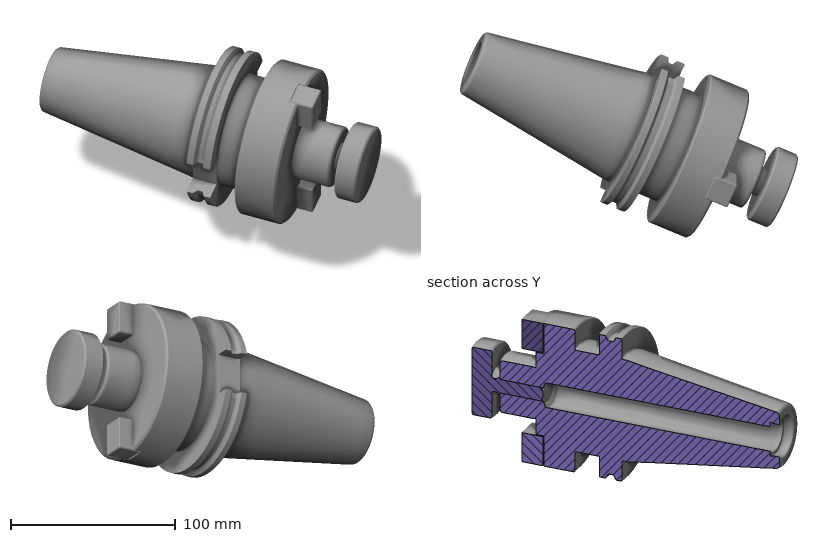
import cadquery as cq
import math


taper_large_diameter = 70.0
taper_length = 101.8
taper_ratio = 7 / 24
taper_small_diameter = taper_large_diameter - taper_length * taper_ratio
taper_end_fillet = 2.5

flange_diameter = 97.0
flange_start = 105.0
flange_end = 120.3
flange_chamfer = 0.5
groove_start = 109.2
groove_end = 116.2
groove_depth = 3.0
groove_slope = math.tan(math.radians(30))
groove_run = groove_depth * groove_slope
drive_slot_width = 25.7
front_slot_floor = 35.4
back_slot_floor = 37.6

neck_fillet = 0.6
disc_diameter = 97.0
disc_start = 136.5
disc_end = 162.6
disc_back_chamfer = 0.8
disc_front_chamfer = 1.2
spigot_diameter = 38.0
spigot_end = 186.7
spigot_fillet = 1.9
undercut_diameter = 37.6
undercut_width = 1.6

mouth_diameter = 28.0
counterbore_diameter = 26.1
relief_diameter = 26.7
bore_diameter = 22.0
mouth_fillet = (mouth_diameter - counterbore_diameter) / 2
counterbore_depth = 6.4
relief_width = 1.6
bore_depth = 156.3
bore_cone_half_angle = 59.0

shank_diameter = 17.3
shank_chamfer = 1.2
collar_diameter = 19.1
collar_length = 0.8
collar_cone_length = 1.2
exposed_shank_diameter = 17.7
shank_groove_diameter = 17.5
shank_groove_start = 189.4
shank_groove_end = 190.6
head_diameter = 48.0
head_start = 191.8
head_end = 205.6
head_chamfer = 1.0
bore_cone_length = (bore_diameter - shank_diameter) / 2 / math.tan(math.radians(bore_cone_half_angle))
shank_start = bore_depth + bore_cone_length

key_count = 2
key_start = 157.5
key_end = 172.3
key_width = 15.6
key_inner = 27.8
key_outer = 48.1
key_chamfer = 0.6


def cylinder(diameter, start, end):
    return cq.Workplane("YZ", origin=(start, 0, 0)).circle(diameter / 2).extrude(end - start)


def revolve_about_x(profile):
    return profile.close().revolve(360, (0, 0, 0), (1, 0, 0))


def make_taper():
    taper = revolve_about_x(
        cq.Workplane("XY")
        .lineTo(0, taper_small_diameter / 2)
        .lineTo(taper_length, taper_large_diameter / 2)
        .lineTo(taper_length, 0)
    )
    return taper.faces("<X").edges().fillet(taper_end_fillet)


def make_flange():
    flange = cylinder(flange_diameter, flange_start, flange_end).faces("<X").edges().chamfer(flange_chamfer)
    rim = flange_diameter / 2
    groove_floor = rim - groove_depth
    groove = revolve_about_x(
        cq.Workplane("XY")
        .moveTo(groove_start, rim)
        .lineTo(groove_start + groove_run, groove_floor)
        .lineTo(groove_end - groove_run, groove_floor)
        .lineTo(groove_end, rim)
    )
    return flange.cut(groove)


def make_disc():
    disc = cylinder(disc_diameter, disc_start, disc_end)
    disc = disc.faces("<X").edges().chamfer(disc_back_chamfer)
    return disc.faces(">X").edges().chamfer(disc_front_chamfer)


def make_root_fillet(face, direction):
    """Ring that blends the neck into a face; direction is the way from the face along X."""
    radius = taper_large_diameter / 2
    bend = neck_fillet * (1 - math.sqrt(0.5))
    return revolve_about_x(
        cq.Workplane("XY")
        .moveTo(face, radius)
        .lineTo(face, radius + neck_fillet)
        .threePointArc(
            (face + direction * bend, radius + bend),
            (face + direction * neck_fillet, radius),
        )
    )


def make_spigot():
    spigot = cylinder(spigot_diameter, disc_end + undercut_width, spigot_end)
    spigot = spigot.faces(">X").edges().fillet(spigot_fillet)
    return spigot.union(cylinder(undercut_diameter, disc_end, disc_end + undercut_width))


def make_bore():
    mouth_bend = mouth_fillet * (1 - math.sqrt(0.5))
    counterbore_radius = counterbore_diameter / 2
    relief_start = counterbore_depth - relief_width
    return revolve_about_x(
        cq.Workplane("XY")
        .lineTo(0, mouth_diameter / 2)
        .threePointArc(
            (mouth_bend, counterbore_radius + mouth_bend),
            (mouth_fillet, counterbore_radius),
        )
        .lineTo(relief_start, counterbore_radius)
        .lineTo(relief_start, relief_diameter / 2)
        .lineTo(counterbore_depth, relief_diameter / 2)
        .lineTo(counterbore_depth, bore_diameter / 2)
        .lineTo(bore_depth, bore_diameter / 2)
        .lineTo(shank_start, shank_diameter / 2)
        .lineTo(spigot_end, shank_diameter / 2)
        .lineTo(spigot_end, 0)
    )


def make_drive_slots():
    length = flange_end - flange_start
    middle = (flange_start + flange_end) / 2
    depth = flange_diameter / 2
    block = cq.Workplane("XY").box(length, depth, drive_slot_width)
    front_slot = block.translate((middle, -front_slot_floor - depth / 2, 0))
    back_slot = block.translate((middle, back_slot_floor + depth / 2, 0))
    return front_slot.union(back_slot)


def place_around_axis(shape, index):
    return shape.rotate((0, 0, 0), (1, 0, 0), 360 / key_count * index)


def make_key_slot(index):
    """Square-cornered pocket for one key, open to the front face and the rim of the disc."""
    length = disc_end - key_start
    depth = disc_diameter / 2 - key_inner
    slot = cq.Workplane("XY").box(length, key_width, depth, centered=(False, True, False))
    return place_around_axis(slot.translate((key_start, 0, key_inner)), index)


def make_drive_key(index):
    length = key_end - key_start
    height = key_outer - key_inner
    key = cq.Workplane("XY").box(length, key_width, height, centered=(False, True, False))
    key = key.edges().chamfer(key_chamfer)
    return place_around_axis(key.translate((key_start, 0, key_inner)), index)


def make_holder():
    holder = make_taper().union(cylinder(taper_large_diameter, taper_length, disc_start))
    holder = holder.union(make_flange()).union(make_disc()).union(make_spigot())
    for face, direction in ((flange_start, -1), (flange_end, 1), (disc_start, -1)):
        holder = holder.union(make_root_fillet(face, direction))
    holder = holder.cut(make_drive_slots()).cut(make_bore())
    for index in range(key_count):
        holder = holder.cut(make_key_slot(index))
    return holder


def make_clamping_screw():
    shank_radius = shank_diameter / 2
    groove_radius = shank_groove_diameter / 2
    exposed_radius = exposed_shank_diameter / 2
    collar_radius = collar_diameter / 2
    collar_end = spigot_end + collar_length
    rim = head_diameter / 2
    return revolve_about_x(
        cq.Workplane("XY")
        .moveTo(shank_start, 0)
        .lineTo(shank_start, shank_radius - shank_chamfer)
        .lineTo(shank_start + shank_chamfer, shank_radius)
        .lineTo(spigot_end, shank_radius)
        .lineTo(spigot_end, collar_radius)
        .lineTo(collar_end, collar_radius)
        .lineTo(collar_end + collar_cone_length, exposed_radius)
        .lineTo(shank_groove_start, exposed_radius)
        .lineTo(shank_groove_start, groove_radius)
        .lineTo(shank_groove_end, groove_radius)
        .lineTo(shank_groove_end, exposed_radius)
        .lineTo(head_start, exposed_radius)
        .lineTo(head_start, rim - head_chamfer)
        .lineTo(head_start + head_chamfer, rim)
        .lineTo(head_end - head_chamfer, rim)
        .lineTo(head_end, rim - head_chamfer)
        .lineTo(head_end, 0)
    )


drive_keys = [make_drive_key(index) for index in range(key_count)]
holder = make_holder()
clamping_screw = make_clamping_screw()

result = cq.Compound.makeCompound(
    [holder.val(), clamping_screw.val(), *[key.val() for key in drive_keys]]
)